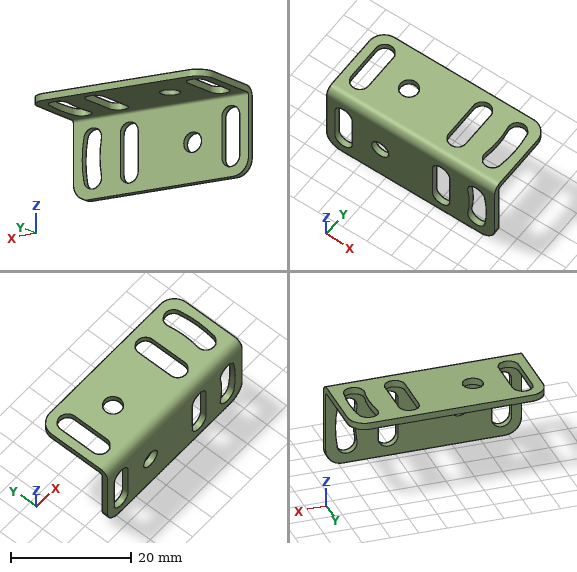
import cadquery as cq
import math

length = 34.5
flange = 15.2
thickness = 1.2
inner_bend_radius = 0.5
outer_bend_radius = inner_bend_radius + thickness
corner_radius = 3.0

hole_diameter = 3.5
slot_length = 10.5
pattern_height = 8.2
pivot_x = 11.0
straight_slot_xs = (3.5, 23.5)
arc_slot_radius = 20.0


def make_angle():
    """L-shaped sheet with its outer bend edge on the X axis, flanges toward +Y and -Z."""
    profile = (
        cq.Workplane("YZ")
        .polyline([
            (0, 0), (flange, 0), (flange, -thickness),
            (thickness, -thickness), (thickness, -flange), (0, -flange),
        ])
        .close()
        .extrude(length)
    )
    bend_middle = (length / 2, 0, 0)
    inner_middle = (length / 2, thickness, -thickness)
    angle = profile.edges(cq.NearestToPointSelector(bend_middle)).fillet(outer_bend_radius)
    angle = angle.edges(cq.NearestToPointSelector(inner_middle)).fillet(inner_bend_radius)

    angle = angle.faces(">Y").edges("|Z").fillet(corner_radius)
    return angle.faces("<Z").edges("|Y").fillet(corner_radius)


def arc_slot(plane):
    """Cutter for the curved slot, concentric with the pivot hole at the plane origin."""
    half_width = hole_diameter / 2
    end_offset = (slot_length - hole_diameter) / 2
    end_angle = math.asin(end_offset / arc_slot_radius)
    inner = arc_slot_radius - half_width
    outer = arc_slot_radius + half_width

    def polar(radius, angle):
        return radius * math.cos(angle), radius * math.sin(angle)

    def cap_middle(side):
        x, y = polar(arc_slot_radius, side * end_angle)
        return (
            x - half_width * math.sin(end_angle),
            y + side * half_width * math.cos(end_angle),
        )

    return (
        cq.Workplane(plane)
        .moveTo(*polar(outer, -end_angle))
        .threePointArc((outer, 0), polar(outer, end_angle))
        .threePointArc(cap_middle(1), polar(inner, end_angle))
        .threePointArc((inner, 0), polar(inner, -end_angle))
        .threePointArc(cap_middle(-1), polar(outer, -end_angle))
        .close()
        .extrude(-thickness)
    )


def pattern_cutter(plane):
    """All openings of one flange; the plane lies on its outer face, centred on the pivot hole."""
    pivot_hole = cq.Workplane(plane).circle(hole_diameter / 2).extrude(-thickness)
    straight_slots = (
        cq.Workplane(plane)
        .pushPoints([(x - pivot_x, 0) for x in straight_slot_xs])
        .slot2D(slot_length, hole_diameter, 90)
        .extrude(-thickness)
    )
    return pivot_hole.union(straight_slots).union(arc_slot(plane))


top_plane = cq.Plane(origin=(pivot_x, pattern_height, 0), xDir=(1, 0, 0), normal=(0, 0, 1))
front_plane = cq.Plane(origin=(pivot_x, 0, -pattern_height), xDir=(1, 0, 0), normal=(0, -1, 0))

result = make_angle()
for flange_plane in (top_plane, front_plane):
    result = result.cut(pattern_cutter(flange_plane))